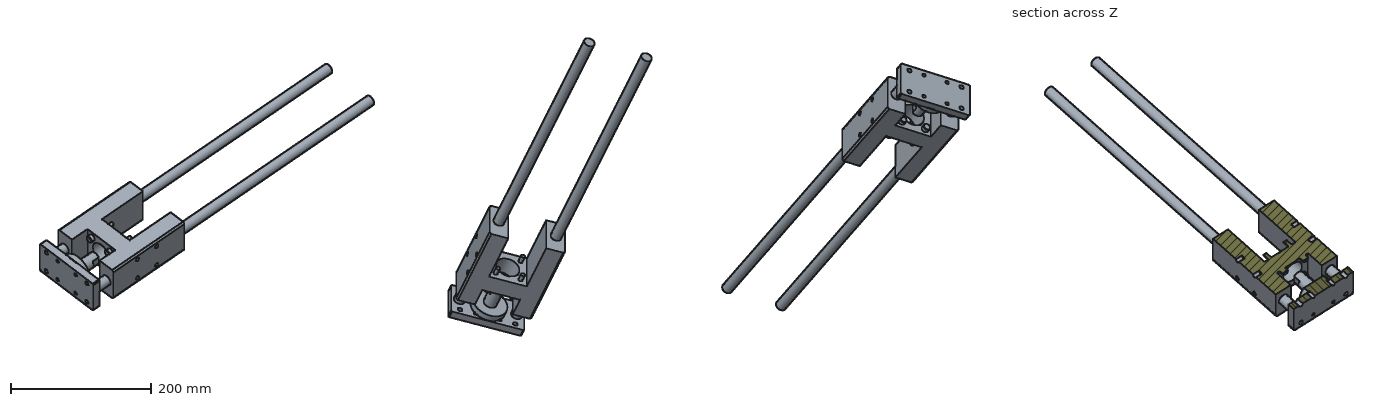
import cadquery as cq

HOUSING_WIDTH = 115.0
HOUSING_HEIGHT = 58.0
HOUSING_LENGTH = 140.0
HOUSING_FRONT = 38.0
HOUSING_CHAMFER = 3.0
BAY_WIDTH = 57.5
WEB_FRONT = 68.5
WEB_BACK = 97.0
CENTRE_BORE_DIAMETER = 35.0

SCREW_SPACING = 38.0
SCREW_DIAMETER = 6.0
SCREW_HEAD_DIAMETER = 10.5
SCREW_HEAD_HEIGHT = 6.5
SCREW_HEAD_CHAMFER = 0.5
SCREW_PROTRUSION = 11.0

SIDE_HOLE_DIAMETER = 6.0
SIDE_HOLE_DEPTH = 11.0
SIDE_HOLE_SPACING = 38.0
SIDE_HOLE_CENTRE = 104.0

TOTAL_LENGTH = 557.0
PLATE_WIDTH = 111.5
PLATE_HEIGHT = 54.5
PLATE_THICKNESS = 12.0
PLATE_CHAMFER = 1.5
ROD_DIAMETER = 16.0
ROD_SPACING = 87.0
FLANGE_DIAMETER = 53.0
FLANGE_BACK = 22.5
STUD_DIAMETER = 20.0
STUD_SHOULDER = 44.0
STUD_FLATS_WIDTH = 15.0
STUD_BACK = 56.0

PLATE_HOLE_SPACING_Z = 38.0
INNER_HOLE_SPACING = 37.5
INNER_HOLE_DIAMETER = 5.1
OUTER_HOLE_SPACING = 84.0
OUTER_HOLE_DIAMETER = 6.5


def box_between(width, y_front, y_back, height):
    """Block centred on the Y axis."""
    return cq.Workplane("XY").box(width, y_back - y_front, height).translate(
        (0, (y_front + y_back) / 2, 0)
    )


def cylinders_between(diameter, y_front, y_back, centres):
    """Cylinders parallel to Y at the given (x, z) centres."""
    plane = cq.Plane(origin=(0, y_front, 0), xDir=(-1, 0, 0), normal=(0, 1, 0))
    local_centres = [(-x, z) for x, z in centres]
    return cq.Workplane(plane).pushPoints(local_centres).circle(diameter / 2).extrude(y_back - y_front)


def rectangle_corners(spacing_x, spacing_z):
    """(x, z) corners of a rectangle centred on the Y axis."""
    return [(sx * spacing_x / 2, sz * spacing_z / 2) for sx in (-1, 1) for sz in (-1, 1)]


AXIS = [(0, 0)]
ROD_CENTRES = [(-ROD_SPACING / 2, 0), (ROD_SPACING / 2, 0)]


def make_housing():
    back = HOUSING_FRONT + HOUSING_LENGTH
    body = box_between(HOUSING_WIDTH, HOUSING_FRONT, back, HOUSING_HEIGHT)
    body = body.edges("|Y").chamfer(HOUSING_CHAMFER)

    body = body.cut(box_between(BAY_WIDTH, HOUSING_FRONT, WEB_FRONT, HOUSING_HEIGHT))
    body = body.cut(box_between(BAY_WIDTH, WEB_BACK, back, HOUSING_HEIGHT))

    body = body.cut(cylinders_between(ROD_DIAMETER, HOUSING_FRONT, back, ROD_CENTRES))
    body = body.cut(cylinders_between(CENTRE_BORE_DIAMETER, WEB_FRONT, WEB_BACK, AXIS))

    corners = rectangle_corners(SCREW_SPACING, SCREW_SPACING)
    shanks = cylinders_between(SCREW_DIAMETER, WEB_FRONT, WEB_BACK + SCREW_PROTRUSION, corners)
    heads = cylinders_between(SCREW_HEAD_DIAMETER, WEB_FRONT - SCREW_HEAD_HEIGHT, WEB_FRONT, corners)
    heads = heads.faces("<Y").edges().chamfer(SCREW_HEAD_CHAMFER)
    body = body.union(shanks).union(heads)

    for side in (-1, 1):
        plane = cq.Plane(
            origin=(side * HOUSING_WIDTH / 2, SIDE_HOLE_CENTRE, 0), xDir=(0, 1, 0), normal=(-side, 0, 0)
        )
        holes = (
            cq.Workplane(plane)
            .rect(SIDE_HOLE_SPACING, SIDE_HOLE_SPACING, forConstruction=True)
            .vertices()
            .circle(SIDE_HOLE_DIAMETER / 2)
            .extrude(SIDE_HOLE_DEPTH)
        )
        body = body.cut(holes)
    return body


def make_slide():
    body = box_between(PLATE_WIDTH, 0, PLATE_THICKNESS, PLATE_HEIGHT)
    body = body.edges("|Y").chamfer(PLATE_CHAMFER)

    body = body.union(cylinders_between(FLANGE_DIAMETER, PLATE_THICKNESS, FLANGE_BACK, AXIS))
    stud_tip = cylinders_between(STUD_DIAMETER, STUD_SHOULDER, STUD_BACK, AXIS)
    stud_tip = stud_tip.intersect(box_between(STUD_FLATS_WIDTH, STUD_SHOULDER, STUD_BACK, STUD_DIAMETER))
    body = body.union(cylinders_between(STUD_DIAMETER, FLANGE_BACK, STUD_SHOULDER, AXIS)).union(stud_tip)

    body = body.union(cylinders_between(ROD_DIAMETER, PLATE_THICKNESS, TOTAL_LENGTH, ROD_CENTRES))

    inner = rectangle_corners(INNER_HOLE_SPACING, PLATE_HOLE_SPACING_Z)
    outer = rectangle_corners(OUTER_HOLE_SPACING, PLATE_HOLE_SPACING_Z)
    body = body.cut(cylinders_between(INNER_HOLE_DIAMETER, 0, PLATE_THICKNESS, inner))
    body = body.cut(cylinders_between(OUTER_HOLE_DIAMETER, 0, PLATE_THICKNESS, outer))
    return body


housing = make_housing()
slide = make_slide()
result = cq.Compound.makeCompound([housing.val(), slide.val()])